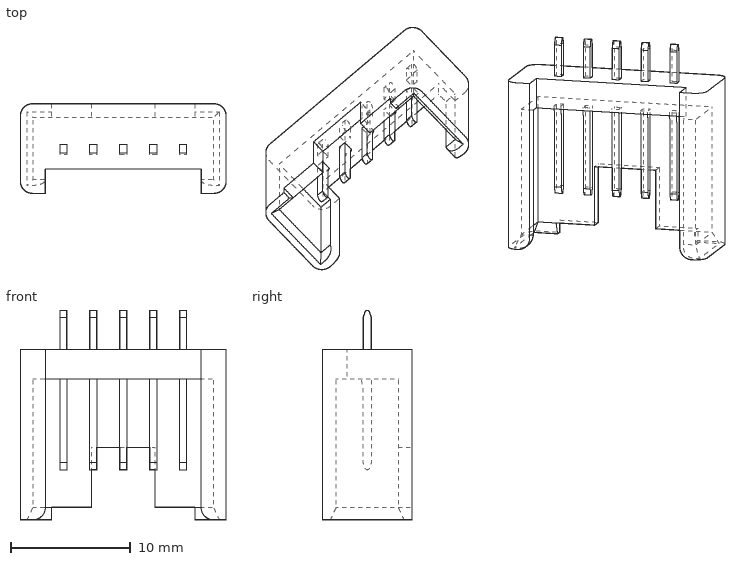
import cadquery as cq

total_height = 17.5
body_width = 17.2
body_depth = 7.5
body_height = 14.25
corner_radius = 1.03

side_wall = 1.05
long_wall = 1.15
roof_thickness = 2.5
mouth_height = 1.03
mouth_flare = 0.47

front_slot_width = 13.0
front_slot_depth = 2.05
leg_radius = mouth_height

foot_gap = 11.97
rear_notch_width = 5.28
rear_notch_height = 6.04

pin_count = 5
pin_pitch = 2.5
pin_width = 0.6
pin_thickness = 0.7
pin_bottom = 4.18
tip_length = 0.6
tip_round_height = 0.14
tip_round_width = 0.38
shoulder_bottom = 10.88
shoulder_flare = 0.149

cavity_width = body_width - 2 * side_wall
cavity_depth = body_depth - 2 * long_wall
ceiling = body_height - roof_thickness
front = -body_depth / 2
rear = body_depth / 2


def block(width, y_min, y_max, height):
    """Block centred on X, standing on Z = 0, between the given Y limits."""
    return (
        cq.Workplane("XY")
        .center(0, (y_min + y_max) / 2)
        .rect(width, y_max - y_min)
        .extrude(height)
    )


def housing():
    """Rounded block with a cavity open at the bottom and flared at its mouth."""
    body = block(body_width, front, rear, body_height).edges("|Z").fillet(corner_radius)
    cavity = block(cavity_width, -cavity_depth / 2, cavity_depth / 2, ceiling)
    mouth = (
        cq.Workplane("XY")
        .rect(cavity_width + 2 * mouth_flare, cavity_depth + 2 * mouth_flare)
        .workplane(offset=mouth_height)
        .rect(cavity_width, cavity_depth)
        .loft(ruled=True)
    )
    return body.cut(cavity).cut(mouth)


def front_slot():
    """Full-height front opening that rounds off the lower inner edges of the legs."""
    slot_back = front + front_slot_depth
    slot_side = front_slot_width / 2
    slot = block(front_slot_width, front, slot_back, body_height)
    for side in (-1, 1):
        leg_rounding = (
            cq.Workplane("XZ", origin=(0, slot_back, 0))
            .moveTo(side * slot_side, leg_radius)
            .radiusArc((side * (slot_side + leg_radius), 0), -side * leg_radius)
            .lineTo(side * slot_side, 0)
            .close()
            .extrude(front_slot_depth)
        )
        slot = slot.union(leg_rounding)
    return slot


def rear_openings():
    """Low gap between the rear feet and a taller notch in the middle."""
    gap = block(foot_gap, 0, rear, mouth_height)
    notch = block(rear_notch_width, 0, rear, rear_notch_height)
    return gap.union(notch)


def pin(x):
    """Flat pin with tapered, rounded tips and a front shoulder under the roof."""
    half = pin_thickness / 2
    half_round = tip_round_width / 2
    lower_taper = pin_bottom + tip_length
    lower_round = pin_bottom + tip_round_height
    upper_taper = total_height - tip_length
    upper_round = total_height - tip_round_height
    return (
        cq.Workplane("YZ", origin=(x - pin_width / 2, 0, 0))
        .moveTo(-half, lower_taper)
        .lineTo(-half_round, lower_round)
        .threePointArc((0, pin_bottom), (half_round, lower_round))
        .lineTo(half, lower_taper)
        .lineTo(half, upper_taper)
        .lineTo(half_round, upper_round)
        .threePointArc((0, total_height), (-half_round, upper_round))
        .lineTo(-half, upper_taper)
        .lineTo(-half, ceiling)
        .lineTo(-half - shoulder_flare, ceiling)
        .lineTo(-half, shoulder_bottom)
        .close()
        .extrude(pin_width)
    )


result = housing().cut(front_slot()).cut(rear_openings())
first_pin_x = -pin_pitch * (pin_count - 1) / 2
for index in range(pin_count):
    result = result.union(pin(first_pin_x + index * pin_pitch))